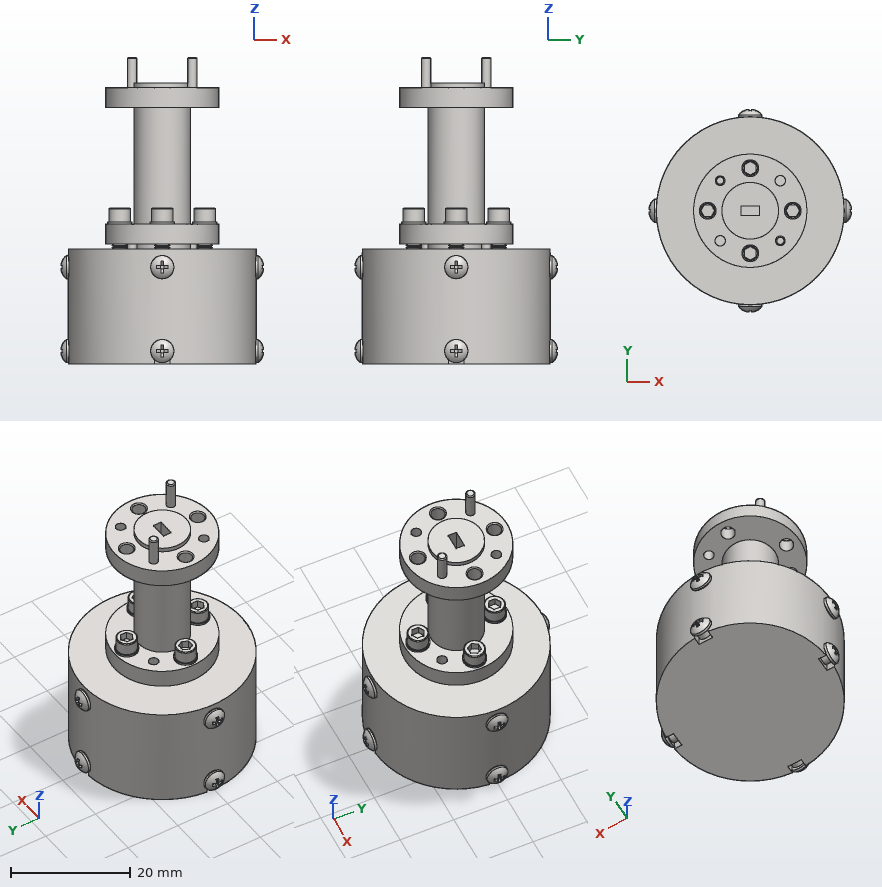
import cadquery as cq
import math

HOUSING_RADIUS = 15.8
HOUSING_HEIGHT = 19.37

FLANGE_RADIUS = 19.05 / 2
FLANGE_THICKNESS = 3.37
TUBE_RADIUS = 9.525 / 2
BOSS_HEIGHT = 0.8
OVERALL_HEIGHT = 51.56
PIN_PROJECTION = 5.08
GUIDE_WIDTH = 3.1
GUIDE_HEIGHT = GUIDE_WIDTH / 2

LOWER_FLANGE_BOTTOM = HOUSING_HEIGHT + BOSS_HEIGHT
LOWER_FLANGE_TOP = LOWER_FLANGE_BOTTOM + FLANGE_THICKNESS
UPPER_FLANGE_TOP = OVERALL_HEIGHT - PIN_PROJECTION
UPPER_FLANGE_BOTTOM = UPPER_FLANGE_TOP - FLANGE_THICKNESS
GUIDE_END = UPPER_FLANGE_TOP + BOSS_HEIGHT

BOLT_CIRCLE_RADIUS = 14.288 / 2
BOLT_ANGLES = (0, 90, 180, 270)
UPPER_PIN_ANGLES = (135, 315)
LOWER_PIN_ANGLES = (45, 225)

PIN_RADIUS = 1.6 / 2
PIN_CHAMFER = 0.2
DOWEL_HOLE_RADIUS = 1.75 / 2
TAPPED_HOLE_RADIUS = 2.4 / 2
TAPPED_HOLE_CHAMFER = 0.21

CAP_HEAD_RADIUS = 3.65 / 2
CAP_HEAD_HEIGHT = 2.7
CAP_EDGE_CHAMFER = 0.15
CAP_LIP_RADIUS = 4.05 / 2
CAP_LIP_HEIGHT = 0.35
SOCKET_ACROSS_FLATS = 2.0
SOCKET_DEPTH = 1.4
THREAD_CREST_RADIUS = 2.55 / 2
THREAD_ROOT_RADIUS = 2.0 / 2
THREAD_PITCH = BOSS_HEIGHT / 2

SIDE_SCREW_ANGLES = (0, 90, 180, 270)
LOWER_SCREW_Z = 2.2
SCREW_ROW_SPACING = 14.1
SIDE_SCREW_HEIGHTS = (LOWER_SCREW_Z, LOWER_SCREW_Z + SCREW_ROW_SPACING)
SCREW_SPAN = 34.16
PAN_HEAD_RADIUS = 3.9 / 2
PAN_RIM_HEIGHT = 0.45
SHANK_RADIUS = 2.65 / 2
SHANK_LENGTH = 3.0
SLOT_DEPTH = 1.5
RECESS_SPAN = 2.5
RECESS_FLOOR_SPAN = 0.6
RECESS_ARM_WIDTH = 0.5
RECESS_DEPTH = 0.8

SEAT_RADIUS = math.sqrt(HOUSING_RADIUS**2 - PAN_HEAD_RADIUS**2)
PAN_HEAD_HEIGHT = SCREW_SPAN / 2 - SEAT_RADIUS


def cylinder(radius, bottom, top):
    return cq.Workplane("XY").workplane(offset=bottom).circle(radius).extrude(top - bottom)


def on_bolt_circle(shape, angle):
    return shape.translate((BOLT_CIRCLE_RADIUS, 0, 0)).rotate((0, 0, 0), (0, 0, 1), angle)


def on_housing_side(shape, angle, height):
    """Turn a shape built along +Z so that it points outward from the drum seat."""
    outward = shape.rotate((0, 0, 0), (0, 1, 0), 90).translate((SEAT_RADIUS, 0, height))
    return outward.rotate((0, 0, 0), (0, 0, 1), angle)


def make_waveguide():
    lower_flange = cylinder(FLANGE_RADIUS, LOWER_FLANGE_BOTTOM, LOWER_FLANGE_TOP)
    upper_flange = cylinder(FLANGE_RADIUS, UPPER_FLANGE_BOTTOM, UPPER_FLANGE_TOP)

    tapped_hole = (
        cylinder(TAPPED_HOLE_RADIUS, UPPER_FLANGE_BOTTOM, UPPER_FLANGE_TOP)
        .union(
            cq.Workplane("XY")
            .workplane(offset=UPPER_FLANGE_TOP)
            .circle(TAPPED_HOLE_RADIUS + TAPPED_HOLE_CHAMFER)
            .workplane(offset=-TAPPED_HOLE_CHAMFER)
            .circle(TAPPED_HOLE_RADIUS)
            .loft()
        )
    )
    for angle in BOLT_ANGLES:
        upper_flange = upper_flange.cut(on_bolt_circle(tapped_hole, angle))

    upper_dowel_hole = cylinder(DOWEL_HOLE_RADIUS, UPPER_FLANGE_BOTTOM, UPPER_FLANGE_TOP)
    for angle in LOWER_PIN_ANGLES:
        upper_flange = upper_flange.cut(on_bolt_circle(upper_dowel_hole, angle))
    lower_dowel_hole = cylinder(DOWEL_HOLE_RADIUS, LOWER_FLANGE_BOTTOM, LOWER_FLANGE_TOP)
    for angle in UPPER_PIN_ANGLES:
        lower_flange = lower_flange.cut(on_bolt_circle(lower_dowel_hole, angle))

    waveguide = cylinder(TUBE_RADIUS, HOUSING_HEIGHT, GUIDE_END).union(lower_flange).union(upper_flange)

    upper_pin = cylinder(PIN_RADIUS, UPPER_FLANGE_BOTTOM, OVERALL_HEIGHT).faces(">Z").chamfer(PIN_CHAMFER)
    for angle in UPPER_PIN_ANGLES:
        waveguide = waveguide.union(on_bolt_circle(upper_pin, angle))
    lower_pin = cylinder(PIN_RADIUS, HOUSING_HEIGHT, LOWER_FLANGE_BOTTOM)
    for angle in LOWER_PIN_ANGLES:
        waveguide = waveguide.union(on_bolt_circle(lower_pin, angle))

    guide_bore = (
        cq.Workplane("XY")
        .workplane(offset=HOUSING_HEIGHT)
        .rect(GUIDE_WIDTH, GUIDE_HEIGHT)
        .extrude(GUIDE_END - HOUSING_HEIGHT)
    )
    return waveguide.cut(guide_bore)


def make_cap_screw():
    """Cap screw head on the lower flange and its ridged shank across the gap below."""
    head_top = LOWER_FLANGE_TOP + CAP_HEAD_HEIGHT
    head = cylinder(CAP_HEAD_RADIUS, LOWER_FLANGE_TOP, head_top).faces(">Z").chamfer(CAP_EDGE_CHAMFER)
    lip = cylinder(CAP_LIP_RADIUS, LOWER_FLANGE_TOP, LOWER_FLANGE_TOP + CAP_LIP_HEIGHT)
    socket = (
        cq.Workplane("XY")
        .workplane(offset=head_top)
        .polygon(6, SOCKET_ACROSS_FLATS / math.cos(math.pi / 6))
        .extrude(-SOCKET_DEPTH)
    )
    shank = cylinder(THREAD_ROOT_RADIUS, HOUSING_HEIGHT, LOWER_FLANGE_TOP)

    ridge_bottom = HOUSING_HEIGHT
    while ridge_bottom < LOWER_FLANGE_BOTTOM - THREAD_PITCH / 2:
        ridge = (
            cq.Workplane("XZ")
            .moveTo(0, ridge_bottom)
            .lineTo(THREAD_ROOT_RADIUS, ridge_bottom)
            .lineTo(THREAD_CREST_RADIUS, ridge_bottom + THREAD_PITCH / 2)
            .lineTo(THREAD_ROOT_RADIUS, ridge_bottom + THREAD_PITCH)
            .lineTo(0, ridge_bottom + THREAD_PITCH)
            .close()
            .revolve(360, (0, 0, 0), (0, 1, 0))
        )
        shank = shank.union(ridge)
        ridge_bottom += THREAD_PITCH
    return head.union(lip).cut(socket).union(shank)


def make_side_screw():
    """Domed screw along +Z, with the underside of its head at Z = 0."""
    dome_rise = PAN_HEAD_HEIGHT - PAN_RIM_HEIGHT
    dome_radius = (PAN_HEAD_RADIUS**2 + dome_rise**2) / (2 * dome_rise)
    dome_center_z = PAN_HEAD_HEIGHT - dome_radius
    arc_angle = math.asin(PAN_HEAD_RADIUS / dome_radius) / 2
    arc_middle = (
        dome_radius * math.sin(arc_angle),
        dome_center_z + dome_radius * math.cos(arc_angle),
    )
    screw = (
        cq.Workplane("XZ")
        .moveTo(0, -SHANK_LENGTH)
        .lineTo(SHANK_RADIUS, -SHANK_LENGTH)
        .lineTo(SHANK_RADIUS, 0)
        .lineTo(PAN_HEAD_RADIUS, 0)
        .lineTo(PAN_HEAD_RADIUS, PAN_RIM_HEIGHT)
        .threePointArc(arc_middle, (0, PAN_HEAD_HEIGHT))
        .close()
        .revolve(360, (0, 0, 0), (0, 1, 0))
    )
    recess_arm = (
        cq.Workplane("XZ")
        .moveTo(-RECESS_SPAN / 2, PAN_HEAD_HEIGHT)
        .lineTo(RECESS_SPAN / 2, PAN_HEAD_HEIGHT)
        .lineTo(RECESS_FLOOR_SPAN / 2, PAN_HEAD_HEIGHT - RECESS_DEPTH)
        .lineTo(-RECESS_FLOOR_SPAN / 2, PAN_HEAD_HEIGHT - RECESS_DEPTH)
        .close()
        .extrude(RECESS_ARM_WIDTH / 2, both=True)
    )
    crossing_arm = recess_arm.rotate((0, 0, 0), (0, 0, 1), 90)
    return screw.cut(recess_arm).cut(crossing_arm)


def make_housing():
    housing = cylinder(HOUSING_RADIUS, 0, HOUSING_HEIGHT)

    seat = cylinder(PAN_HEAD_RADIUS, 0, PAN_HEAD_HEIGHT)
    shank_hole = cylinder(SHANK_RADIUS, -SHANK_LENGTH, 0)
    for angle in SIDE_SCREW_ANGLES:
        for height in SIDE_SCREW_HEIGHTS:
            housing = housing.cut(on_housing_side(seat, angle, height))
            housing = housing.cut(on_housing_side(shank_hole, angle, height))

    slot = (
        cq.Workplane("XY")
        .box(SLOT_DEPTH, 2 * SHANK_RADIUS, LOWER_SCREW_Z, centered=(False, True, False))
        .translate((HOUSING_RADIUS - SLOT_DEPTH, 0, 0))
    )
    for angle in SIDE_SCREW_ANGLES:
        housing = housing.cut(slot.rotate((0, 0, 0), (0, 0, 1), angle))
    return housing


main_body = make_housing().union(make_waveguide())
cap_screw = make_cap_screw()
for bolt_angle in BOLT_ANGLES:
    main_body = main_body.union(on_bolt_circle(cap_screw, bolt_angle))

side_screw = make_side_screw()
side_screws = [
    on_housing_side(side_screw, angle, height).val()
    for angle in SIDE_SCREW_ANGLES
    for height in SIDE_SCREW_HEIGHTS
]

result = cq.Compound.makeCompound([main_body.val(), *side_screws])